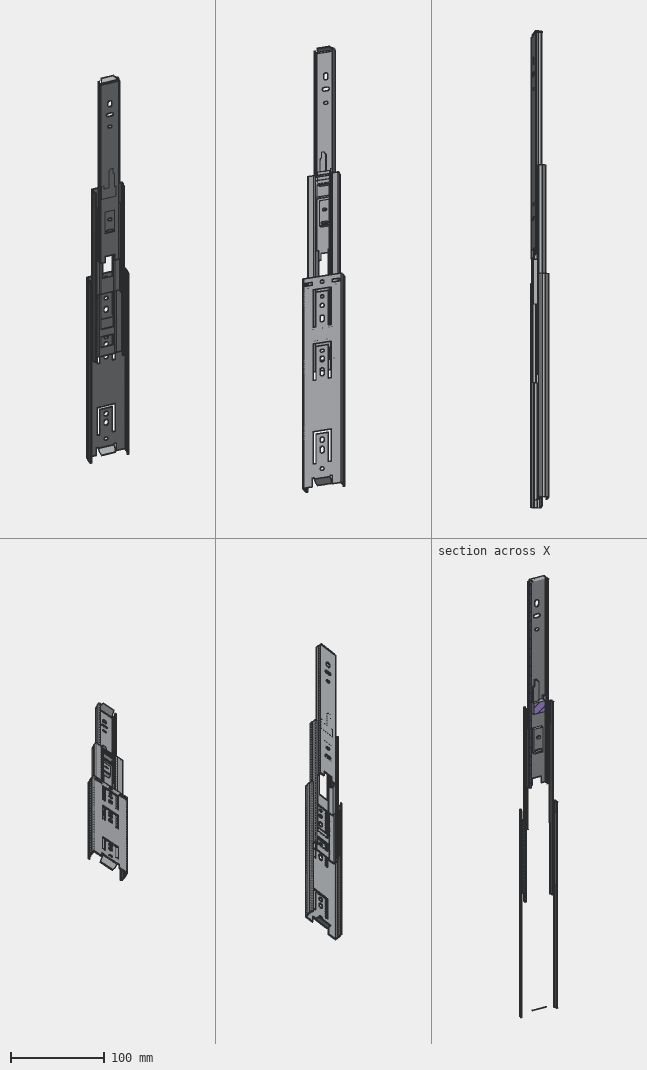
import cadquery as cq
import math


SHEET = 1.2
CAGE_SHEET = 0.7
SLIDE_THICKNESS = 12.7
SLIDE_HEIGHT = 525.0
RAIL_LENGTH = 250.0

OUTER_HALF = 45.46 / 2
OUTER_DEPTH = 11.2
OUTER_LIP = 2.2
RACE_CENTRE = OUTER_DEPTH / 2
RACE_HALF = 1.7
RACE_BULGE = 0.3
BEND_RADIUS = 1.1

MIDDLE_BOTTOM = 138.5
MIDDLE_TOP = 372.6
MIDDLE_BACK = 2.4
MIDDLE_FRONT = 11.1
MIDDLE_HALF = 18.0
MIDDLE_LIP = 2.4
MIDDLE_STEP_X = 6.3
MIDDLE_STEP = 0.6
JOGGLE_OUTER = 10.3
JOGGLE_INNER = 8.7
JOGGLE_DEPTH = 0.8
MIDDLE_SLOT_HALF = 7.1
MIDDLE_SLOT_BOTTOM = 151.0
MIDDLE_SLOT_TOP = 361.2
MIDDLE_BRIDGE_Z = (165.5, 176.0)
MIDDLE_RECESS_DEPTH = 0.5
MIDDLE_RECESS_Z = (366.4, 370.6)

INNER_TOP = 522.6
INNER_BOTTOM = SLIDE_HEIGHT - RAIL_LENGTH
INNER_HALF = 11.6
INNER_BACK = 5.4
INNER_LIP = 2.0
INNER_STEP_X = 9.6
INNER_STEP = 0.5
INNER_NOTCH_HALF = 5.5
INNER_NOTCH_TOP = 283.0
INNER_SHELL_X = SLIDE_THICKNESS - SHEET
END_TAB_BACK = 4.0
END_TAB_FRONT = 12.1
END_TAB_ROOT_HALF = 9.5
END_TAB_TIP_HALF = 7.0


def sheet_channel(half_path, thickness, bottom, top):
    """Extrude a bent-sheet channel; half_path is its outside face at +Y, from free end to web."""
    path = half_path + [(x, -y) for x, y in reversed(half_path)]
    inside = []
    last = len(path) - 1
    for i, (x, y) in enumerate(path):
        x_in, y_in = path[max(i - 1, 0)]
        x_out, y_out = path[min(i + 1, last)]
        angle_out = math.atan2(y_out - y, x_out - x)
        angle_in = math.atan2(y - y_in, x - x_in)
        if i == 0:
            angle_in = angle_out
        if i == last:
            angle_out = angle_in
        half_turn = math.remainder(angle_out - angle_in, 2 * math.pi) / 2
        normal = angle_in + half_turn + math.pi / 2
        reach = thickness / math.cos(half_turn)
        inside.append((x + reach * math.cos(normal), y + reach * math.sin(normal)))
    outline = path + inside[::-1]
    return cq.Workplane("XY", origin=(0, 0, bottom)).polyline(outline).close().extrude(top - bottom)


def block(x0, x1, y0, y1, z0, z1):
    """Box between opposite corners."""
    return cq.Workplane("XY").box(x1 - x0, y1 - y0, z1 - z0, centered=False).translate((x0, y0, z0))


def hole(x0, x1, z, width, height):
    """Round or oblong cutter along X, centred on Y = 0; height is its size along Z."""
    sketch = cq.Workplane("YZ", origin=(x0, 0, z))
    if width == height:
        return sketch.circle(width / 2).extrude(x1 - x0)
    if width > height:
        return sketch.slot2D(width, height).extrude(x1 - x0)
    return sketch.slot2D(height, width, 90).extrude(x1 - x0)


def round_bends(channel, x, half_width, radius):
    """Round the outside bend edges that run along Z at (x, +/-half_width)."""
    near = 0.05
    for side in (1, -1):
        y = side * half_width
        corner = cq.selectors.BoxSelector(
            (x - near, y - near, 0), (x + near, y + near, SLIDE_HEIGHT)
        )
        channel = channel.edges("|Z").edges(corner).fillet(radius)
    return channel


TAB_HALF = 7.1
TAB_SLOT_HALF = 10.3
TAB_GAP = 3.4
BAYONET_TABS = [(190.5, 235.2), (127.0, 170.5), (27.3, 65.7)]
OUTER_HOLES = [
    (243.2, 4.2, 4.2),
    (225.6, 3.8, 3.8),
    (215.0, 4.8, 4.8),
    (199.4, 4.8, 8.0),
    (160.8, 4.8, 3.2),
    (150.9, 4.8, 6.8),
    (135.6, 4.8, 9.6),
    (54.6, 4.8, 6.4),
    (42.6, 4.8, 8.0),
    (20.0, 4.4, 4.4),
]
STOP_WINDOW_Y = (11.5, 20.0)
STOP_WINDOW_Z = (240.9, 244.3)
END_NOTCH_HALF = 11.5
END_NOTCH_TOP = 10.4
STOP_TAB_HALF = 9.0
STOP_TAB_TIP_HALF = 8.0
STOP_TAB_TAPER_Z = 6.5
STOP_TAB_BEND_Z = 9.0
STOP_TAB_TIP = (8.5, 4.4)


def outer_half_path():
    """Wall with a ball race that bulges outward along its middle."""
    wall = OUTER_HALF - RACE_BULGE
    return [
        (OUTER_DEPTH, wall - OUTER_LIP),
        (OUTER_DEPTH, wall),
        (RACE_CENTRE + RACE_HALF + RACE_BULGE, wall),
        (RACE_CENTRE + RACE_HALF, OUTER_HALF),
        (RACE_CENTRE - RACE_HALF, OUTER_HALF),
        (RACE_CENTRE - RACE_HALF - RACE_BULGE, wall),
        (0, wall),
    ]


def bayonet_slot(bottom, top):
    """U-shaped cut that frees a hanging tab in the web."""
    opening = block(0, SHEET, -TAB_SLOT_HALF, TAB_SLOT_HALF, bottom, top)
    tab = block(0, SHEET, -TAB_HALF, TAB_HALF, bottom, top - TAB_GAP)
    return opening.cut(tab)


def stop_tab():
    """Tongue at the lower end of the web, bent into the rail."""
    tip_x, tip_z = STOP_TAB_TIP
    outline = [
        (0, END_NOTCH_TOP),
        (0, STOP_TAB_BEND_Z),
        (tip_x - SHEET, tip_z),
        (tip_x, tip_z),
        (SHEET, STOP_TAB_BEND_Z),
        (SHEET, END_NOTCH_TOP),
    ]
    tongue = cq.Workplane("XZ", origin=(0, STOP_TAB_HALF, 0)).polyline(outline).close()
    tongue = tongue.extrude(2 * STOP_TAB_HALF)
    face = [
        (-STOP_TAB_HALF, END_NOTCH_TOP),
        (-STOP_TAB_HALF, STOP_TAB_TAPER_Z),
        (-STOP_TAB_TIP_HALF, tip_z),
        (STOP_TAB_TIP_HALF, tip_z),
        (STOP_TAB_HALF, STOP_TAB_TAPER_Z),
        (STOP_TAB_HALF, END_NOTCH_TOP),
    ]
    return tongue.intersect(cq.Workplane("YZ").polyline(face).close().extrude(tip_x))


def build_outer_rail():
    rail = sheet_channel(outer_half_path(), SHEET, 0, RAIL_LENGTH)
    for x in (0, OUTER_DEPTH):
        rail = round_bends(rail, x, OUTER_HALF - RACE_BULGE, BEND_RADIUS)
    for bottom, top in BAYONET_TABS:
        rail = rail.cut(bayonet_slot(bottom, top))
    for z, width, height in OUTER_HOLES:
        rail = rail.cut(hole(0, SHEET, z, width, height))
    near_y, far_y = STOP_WINDOW_Y
    for y0, y1 in ((near_y, far_y), (-far_y, -near_y)):
        rail = rail.cut(block(0, SHEET, y0, y1, *STOP_WINDOW_Z))
    rail = rail.cut(block(0, SHEET, -END_NOTCH_HALF, END_NOTCH_HALF, 0, END_NOTCH_TOP))
    return rail.union(stop_tab())


def build_middle_rail():
    upper_half = MIDDLE_HALF - MIDDLE_STEP
    half_path = [
        (MIDDLE_FRONT, upper_half - MIDDLE_LIP),
        (MIDDLE_FRONT, upper_half),
        (MIDDLE_STEP_X + MIDDLE_STEP, upper_half),
        (MIDDLE_STEP_X, MIDDLE_HALF),
        (MIDDLE_BACK, MIDDLE_HALF),
        (MIDDLE_BACK, JOGGLE_OUTER),
        (MIDDLE_BACK + JOGGLE_DEPTH, JOGGLE_INNER),
    ]
    rail = sheet_channel(half_path, SHEET, MIDDLE_BOTTOM, MIDDLE_TOP)
    rail = round_bends(rail, MIDDLE_BACK, MIDDLE_HALF, BEND_RADIUS)
    rail = round_bends(rail, MIDDLE_FRONT, upper_half, BEND_RADIUS)
    bridge_bottom, bridge_top = MIDDLE_BRIDGE_Z
    for z0, z1 in ((MIDDLE_SLOT_BOTTOM, bridge_bottom), (bridge_top, MIDDLE_SLOT_TOP)):
        rail = rail.cut(block(MIDDLE_BACK, MIDDLE_FRONT, -MIDDLE_SLOT_HALF, MIDDLE_SLOT_HALF, z0, z1))
    recess_floor = MIDDLE_BACK + JOGGLE_DEPTH + MIDDLE_RECESS_DEPTH
    recess = block(MIDDLE_BACK, recess_floor, -JOGGLE_INNER, JOGGLE_INNER, *MIDDLE_RECESS_Z)
    return rail.cut(recess)


LEVER_CATCH_HOLE = (333.0, 4.8, 3.4)
LEVER_CATCH_SLOT = (317.2, 8.0, 3.0)
INNER_HOLES = [(493.7, 4.6, 8.4), (478.5, 8.0, 4.4), (462.0, 4.6, 3.4)]


def end_tab():
    """Tapered tongue above the web, bent across the rail on a short neck."""
    outline = [
        (END_TAB_FRONT, END_TAB_ROOT_HALF),
        (INNER_SHELL_X, END_TAB_ROOT_HALF),
        (END_TAB_BACK, END_TAB_TIP_HALF),
        (END_TAB_BACK, -END_TAB_TIP_HALF),
        (INNER_SHELL_X, -END_TAB_ROOT_HALF),
        (END_TAB_FRONT, -END_TAB_ROOT_HALF),
    ]
    underside = SLIDE_HEIGHT - SHEET
    tongue = cq.Workplane("XY", origin=(0, 0, underside)).polyline(outline).close().extrude(SHEET)
    neck = block(
        INNER_SHELL_X, END_TAB_FRONT,
        -END_TAB_ROOT_HALF, END_TAB_ROOT_HALF,
        INNER_TOP, underside,
    )
    return tongue.union(neck)


def build_inner_rail():
    web_half = INNER_HALF - INNER_STEP
    half_path = [
        (INNER_BACK, -INNER_HALF + INNER_LIP),
        (INNER_BACK, -INNER_HALF),
        (INNER_STEP_X, -INNER_HALF),
        (INNER_STEP_X + INNER_STEP, -web_half),
        (SLIDE_THICKNESS, -web_half),
    ]
    rail = sheet_channel(half_path, SHEET, INNER_BOTTOM, INNER_TOP)
    rail = round_bends(rail, INNER_BACK, INNER_HALF, BEND_RADIUS)
    notch = block(
        INNER_SHELL_X, SLIDE_THICKNESS,
        -INNER_NOTCH_HALF, INNER_NOTCH_HALF,
        INNER_BOTTOM, INNER_NOTCH_TOP,
    )
    rail = rail.cut(notch)
    for z, width, height in INNER_HOLES + [LEVER_CATCH_HOLE, LEVER_CATCH_SLOT]:
        rail = rail.cut(hole(INNER_SHELL_X, SLIDE_THICKNESS, z, width, height))
    return rail.union(end_tab())


OUTER_CAGE_BACK = 1.45
OUTER_CAGE_FRONT = 9.0
OUTER_CAGE_HALF = 20.0
OUTER_CAGE_Z = (150.0, 238.0)
OUTER_CAGE_WINDOW_HALF = 12.0
OUTER_CAGE_BAR_Z = (174.0, 188.0)
INNER_CAGE_BACK = 4.5
INNER_CAGE_FRONT = 9.6
INNER_CAGE_HALF = 14.3
INNER_CAGE_Z = (225.6, 347.4)
INNER_CAGE_LOWER_WINDOW_HALF = INNER_NOTCH_HALF
INNER_CAGE_UPPER_WINDOW_HALF = 8.0
INNER_CAGE_LOWER_BAR = 21.5
INNER_CAGE_UPPER_BAR = 2.0


def cage(back, front, half, z_range):
    return sheet_channel([(front, half), (back, half)], CAGE_SHEET, *z_range)


def build_outer_cage():
    body = cage(OUTER_CAGE_BACK, OUTER_CAGE_FRONT, OUTER_CAGE_HALF, OUTER_CAGE_Z)
    bottom, top = OUTER_CAGE_Z
    bar_bottom, bar_top = OUTER_CAGE_BAR_Z
    half = OUTER_CAGE_WINDOW_HALF
    for z0, z1 in ((bottom, bar_bottom), (bar_top, top)):
        body = body.cut(block(OUTER_CAGE_BACK, OUTER_CAGE_FRONT, -half, half, z0, z1))
    return body


def build_inner_cage():
    bottom, top = INNER_CAGE_Z
    body = cage(INNER_CAGE_BACK, INNER_CAGE_FRONT, INNER_CAGE_HALF, INNER_CAGE_Z)
    windows = [
        (INNER_CAGE_LOWER_WINDOW_HALF, bottom + INNER_CAGE_LOWER_BAR, INNER_NOTCH_TOP),
        (INNER_CAGE_UPPER_WINDOW_HALF, INNER_NOTCH_TOP, top - INNER_CAGE_UPPER_BAR),
    ]
    for half, z0, z1 in windows:
        body = body.cut(block(INNER_CAGE_BACK, INNER_CAGE_FRONT, -half, half, z0, z1))
    return body


CATCH_BACK = 8.0
CATCH_HALF = 5.5
CATCH_Z = (314.2, 344.2)
LEVER_BASE_BACK = 4.5
LEVER_BASE_HALF = 7.0
LEVER_BASE_Z = (363.0, 376.8)
LEVER_ARM_BACK = 9.0
LEVER_HOOK_Y = (-9.5, -6.3)
LEVER_HOOK_TOP = 381.0
LEVER_ARM = [
    (-0.8, LEVER_BASE_Z[1]),
    (-0.8, 399.8),
    (0.8, 402.3),
    (3.9, 402.3),
    (3.9, 395.8),
    (5.5, 394.3),
    (5.5, LEVER_BASE_Z[1]),
]


def build_catch():
    plate = block(CATCH_BACK, INNER_SHELL_X, -CATCH_HALF, CATCH_HALF, *CATCH_Z)
    for z, width, height in (LEVER_CATCH_HOLE, LEVER_CATCH_SLOT):
        plate = plate.cut(hole(CATCH_BACK, INNER_SHELL_X, z, width, height))
    return plate


def build_lever():
    base_bottom, base_top = LEVER_BASE_Z
    base = block(LEVER_BASE_BACK, INNER_SHELL_X, -LEVER_BASE_HALF, LEVER_BASE_HALF, base_bottom, base_top)
    arm = cq.Workplane("YZ", origin=(LEVER_ARM_BACK, 0, 0)).polyline(LEVER_ARM).close()
    arm = arm.extrude(INNER_SHELL_X - LEVER_ARM_BACK)
    hook = block(LEVER_ARM_BACK, INNER_SHELL_X, *LEVER_HOOK_Y, base_bottom, LEVER_HOOK_TOP)
    return base.union(arm).union(hook)


outer_rail = build_outer_rail()
middle_rail = build_middle_rail()
inner_rail = build_inner_rail()
outer_cage = build_outer_cage()
inner_cage = build_inner_cage()
catch = build_catch()
lever = build_lever()

result = cq.Compound.makeCompound([
    outer_rail.val(),
    middle_rail.val(),
    inner_rail.val(),
    outer_cage.val(),
    inner_cage.val(),
    catch.val(),
    lever.val(),
])